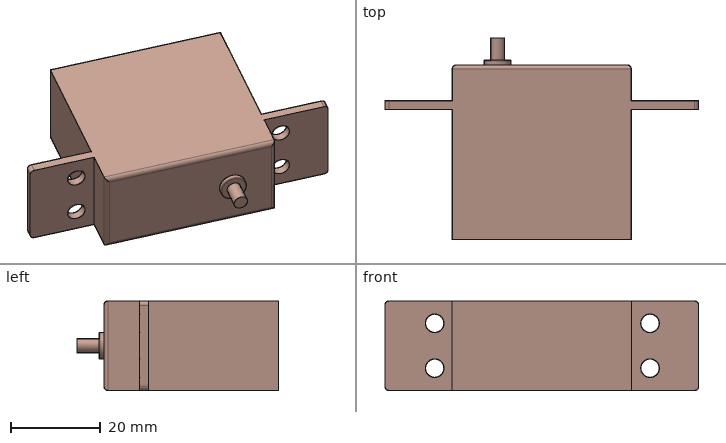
import cadquery as cq

case_length = 40.0
case_depth = 39.0
height = 20.0
case_edge_radius = 1.0

flange_length = 70.0
flange_thickness = 2.0
flange_start = 29.0
flange_corner_radius = 1.0
hole_diameter = 4.05
hole_spacing_x = 48.0
hole_spacing_z = 10.0
hole_pattern_shift = 0.15

shaft_inset = 10.15
shaft_diameter = 3.15
shaft_length = 6.0
collar_diameter = 6.0
collar_length = 1.05
collar_edge_radius = 0.2
shaft_x = shaft_inset - case_length / 2


def make_case():
    case = cq.Workplane("XY").box(case_length, case_depth, height, centered=(True, False, True))
    return case.faces(">Y").edges().fillet(case_edge_radius)


def make_flange():
    plate = cq.Workplane("XY").box(
        flange_length, flange_thickness, height, centered=(True, False, True)
    )
    plate = plate.edges("|Y").fillet(flange_corner_radius)
    plate = (
        plate.faces("<Y")
        .workplane(centerOption="CenterOfBoundBox")
        .center(hole_pattern_shift, 0)
        .rarray(hole_spacing_x, hole_spacing_z, 2, 2)
        .hole(hole_diameter)
    )
    return plate.translate((0, flange_start, 0))


def shaft_cylinder(diameter, length):
    """Cylinder on the shaft axis, rising along +Y from the case."""
    cylinder = cq.Workplane("XZ").circle(diameter / 2).extrude(-length)
    return cylinder.translate((shaft_x, case_depth, 0))


collar = shaft_cylinder(collar_diameter, collar_length)
collar = collar.faces(">Y").edges().fillet(collar_edge_radius)
shaft = shaft_cylinder(shaft_diameter, shaft_length)

result = make_case().union(make_flange()).union(collar).union(shaft)